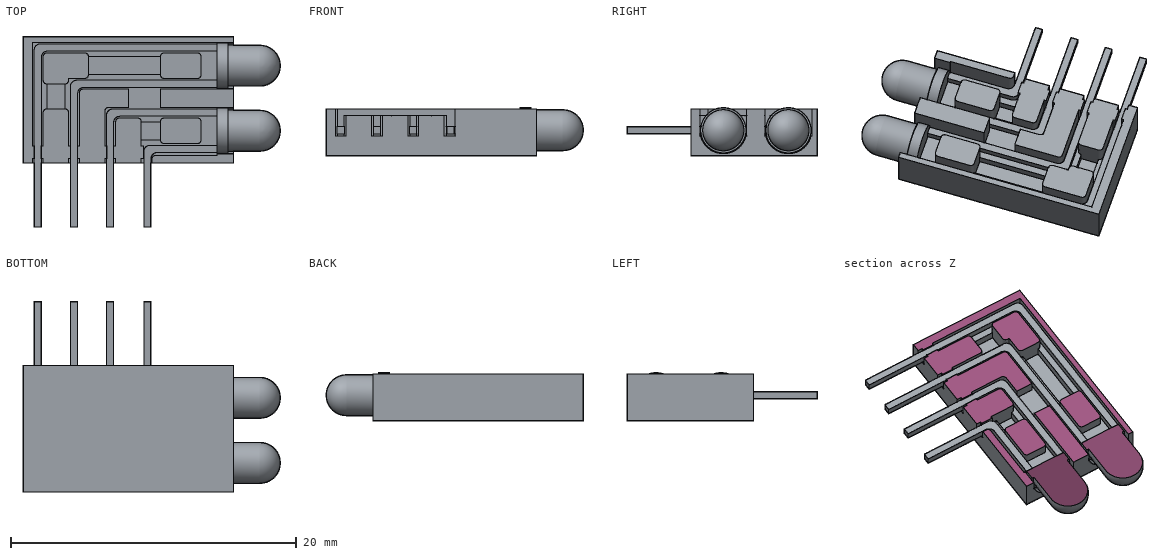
import cadquery as cq

HOUSING_LENGTH = 14.75
HOUSING_DEPTH = 8.87
HOUSING_HEIGHT = 3.3
FLOOR_TOP = 1.4
LEFT_WALL = 0.65
BACK_WALL = 0.4
FRONT_WALL = 0.54
POST_TOP = 2.83
CORNER_RADIUS = 0.25

SLOT_COUNT = 4
SLOT_WIDTH = 0.75
SLOT_PITCH = 2.55
FIRST_SLOT_X = LEFT_WALL + SLOT_WIDTH / 2
NECK_WIDTH = 0.47
NECK_FRONT = 0.32
NECK_BACK = 1.2

LED_TIP_X = 18.03
LED_AXIS_Z = 1.8
BULB_RADIUS = 1.45
RIM_RADIUS = 1.59
RIM_BACK_X = 13.6
RIM_THICKNESS = 0.75
CRADLE_RADIUS = 1.64
BACK_LED_Y = HOUSING_DEPTH - BACK_WALL - CRADLE_RADIUS
LED_SPACING = 4.56
FRONT_LED_Y = BACK_LED_Y - LED_SPACING

LEAD_SIZE = 0.5
LEAD_BEND_RADIUS = 0.43
LEAD_SPACING = 2.55
LEAD_OVERHANG = 4.47
FRONT_LED_LEAD_XS = (6.1, 8.7)

POST_WIDTH = 1.78
END_POST_LEFT = 9.63
END_POST_RIGHT = 12.48
CORNER_POST_RIGHT = 4.58
CORNER_POST_FRONT = 5.55
LEFT_GUIDE_BACK = 3.8
MIDDLE_GUIDE_RIGHT = 7.37

GROOVE_WIDTH = 1.26
GROOVE_BOTTOM = 0.8

slot_xs = [FIRST_SLOT_X + i * SLOT_PITCH for i in range(SLOT_COUNT)]
slot_lefts = [x - SLOT_WIDTH / 2 for x in slot_xs]
slot_rights = [x + SLOT_WIDTH / 2 for x in slot_xs]
back_led_lead_xs = (slot_xs[0], slot_xs[1])
divider_back = BACK_LED_Y - CRADLE_RADIUS
divider_front = FRONT_LED_Y + CRADLE_RADIUS


def box(x0, x1, y0, y1, z0, z1):
    """Box between two opposite corners."""
    return cq.Workplane("XY").box(x1 - x0, y1 - y0, z1 - z0, centered=False).translate((x0, y0, z0))


def post(x0, x1, y0, y1):
    """Square-cornered post standing on the floor."""
    return box(x0, x1, y0, y1, FLOOR_TOP, POST_TOP)


def make_walls():
    """Base plate with the left, back and right-hand front walls and the divider between the LEDs."""
    base = box(0, HOUSING_LENGTH, 0, HOUSING_DEPTH, 0, FLOOR_TOP)
    left = box(0, LEFT_WALL, 0, HOUSING_DEPTH, FLOOR_TOP, HOUSING_HEIGHT)
    back = box(0, HOUSING_LENGTH, HOUSING_DEPTH - BACK_WALL, HOUSING_DEPTH, FLOOR_TOP, HOUSING_HEIGHT)
    front = box(slot_rights[3], HOUSING_LENGTH, 0, FRONT_WALL, FLOOR_TOP, HOUSING_HEIGHT)
    front = front.edges("|Z and <X and >Y").fillet(CORNER_RADIUS)
    divider = box(END_POST_LEFT, HOUSING_LENGTH, divider_front, divider_back, FLOOR_TOP, HOUSING_HEIGHT)
    return base.union(left).union(back).union(front).union(divider)


def make_corner_post():
    """L-shaped post inside the bend of the outermost lead."""
    back = BACK_LED_Y + POST_WIDTH / 2
    arm_front = BACK_LED_Y - POST_WIDTH / 2
    arm = post(slot_rights[0], CORNER_POST_RIGHT, arm_front, back)
    arm = arm.edges("|Z and (not (<X and <Y))").fillet(CORNER_RADIUS)
    foot = post(slot_rights[0], slot_lefts[1], CORNER_POST_FRONT, back)
    return arm.union(foot.edges("|Z and (not (>X and >Y))").fillet(CORNER_RADIUS))


def make_end_post(led_y):
    """Rounded post between the two leads of an LED, near its rim."""
    half = POST_WIDTH / 2
    return post(END_POST_LEFT, END_POST_RIGHT, led_y - half, led_y + half).edges("|Z").fillet(CORNER_RADIUS)


def make_straight_guide(x0, x1, back):
    """Guide running back from the front side, with rounded back corners."""
    return post(x0, x1, 0, back).edges("|Z and >Y").fillet(CORNER_RADIUS)


def make_middle_guide():
    """L-shaped guide between the leads of the two LEDs."""
    outline = (
        cq.Workplane("XY", origin=(0, 0, FLOOR_TOP))
        .moveTo(slot_rights[1], 0)
        .lineTo(slot_lefts[2], 0)
        .lineTo(slot_lefts[2], divider_front - CORNER_RADIUS)
        .radiusArc((slot_lefts[2] + CORNER_RADIUS, divider_front), CORNER_RADIUS)
        .lineTo(MIDDLE_GUIDE_RIGHT, divider_front)
        .lineTo(MIDDLE_GUIDE_RIGHT, divider_back)
        .lineTo(slot_rights[1] + CORNER_RADIUS, divider_back)
        .radiusArc((slot_rights[1], divider_back - CORNER_RADIUS), -CORNER_RADIUS)
        .close()
    )
    return outline.extrude(POST_TOP - FLOOR_TOP)


def make_necks():
    """Ribs on the slot sides that narrow each slot; the last slot has a rib on its left side only."""
    rib = (SLOT_WIDTH - NECK_WIDTH) / 2
    ribs = box(slot_lefts[0], slot_lefts[0] + rib, NECK_FRONT, NECK_BACK, FLOOR_TOP, HOUSING_HEIGHT)
    for left in slot_lefts[1:]:
        ribs = ribs.union(post(left, left + rib, NECK_FRONT, NECK_BACK))
    for right in slot_rights[:-1]:
        ribs = ribs.union(post(right - rib, right, NECK_FRONT, NECK_BACK))
    return ribs


def make_grooves():
    """Cutters for the three grooves that join neighbouring posts."""
    half = GROOVE_WIDTH / 2
    left_x = (slot_rights[0] + slot_lefts[1]) / 2
    back = box(CORNER_POST_RIGHT, END_POST_LEFT, BACK_LED_Y - half, BACK_LED_Y + half, GROOVE_BOTTOM, FLOOR_TOP)
    front = box(slot_lefts[3], END_POST_LEFT, FRONT_LED_Y - half, FRONT_LED_Y + half, GROOVE_BOTTOM, FLOOR_TOP)
    left = box(left_x - half, left_x + half, LEFT_GUIDE_BACK, CORNER_POST_FRONT, GROOVE_BOTTOM, FLOOR_TOP)
    return back.union(front).union(left)


def make_cradle(led_y):
    """Round-bottomed recess for an LED, open at the right end."""
    length = HOUSING_LENGTH - RIM_BACK_X
    return cq.Workplane("YZ", origin=(RIM_BACK_X, led_y, LED_AXIS_Z)).circle(CRADLE_RADIUS).extrude(length)


def make_cradle_lip():
    """Strip that brings the front wall flush with the side of the front cradle."""
    lip_back = FRONT_LED_Y - CRADLE_RADIUS
    return box(RIM_BACK_X, HOUSING_LENGTH, FRONT_WALL, lip_back, FLOOR_TOP, HOUSING_HEIGHT)


def make_housing():
    housing = make_walls().union(make_cradle_lip())
    housing = housing.union(make_corner_post()).union(make_middle_guide())
    housing = housing.union(make_straight_guide(slot_rights[0], slot_lefts[1], LEFT_GUIDE_BACK))
    housing = housing.union(make_straight_guide(slot_rights[2], slot_lefts[3], FRONT_LED_Y + POST_WIDTH / 2))
    housing = housing.union(make_necks()).cut(make_grooves())
    for led_y in (BACK_LED_Y, FRONT_LED_Y):
        housing = housing.union(make_end_post(led_y)).cut(make_cradle(led_y))
    return housing


def make_lead(x, y):
    """Lead running left from the rim at y, then bent to run forward at x."""
    half = LEAD_SIZE / 2
    front = -LEAD_OVERHANG
    outline = (
        cq.Workplane("XY", origin=(0, 0, LED_AXIS_Z - half))
        .moveTo(RIM_BACK_X, y + half)
        .lineTo(x - half + LEAD_BEND_RADIUS, y + half)
        .radiusArc((x - half, y + half - LEAD_BEND_RADIUS), -LEAD_BEND_RADIUS)
        .lineTo(x - half, front)
        .lineTo(x + half, front)
        .lineTo(x + half, y - half - LEAD_BEND_RADIUS)
        .radiusArc((x + half + LEAD_BEND_RADIUS, y - half), LEAD_BEND_RADIUS)
        .lineTo(RIM_BACK_X, y - half)
        .close()
    )
    return outline.extrude(LEAD_SIZE)


def make_led(led_y, lead_xs):
    """Domed bulb with its rim and two leads."""
    dome_x = LED_TIP_X - BULB_RADIUS
    axis_plane = cq.Workplane("YZ", origin=(RIM_BACK_X, led_y, LED_AXIS_Z))
    led = axis_plane.circle(RIM_RADIUS).extrude(RIM_THICKNESS)
    led = led.union(axis_plane.circle(BULB_RADIUS).extrude(dome_x - RIM_BACK_X))
    dome = cq.Workplane("XY").sphere(BULB_RADIUS, direct=(1, 0, 0), angle1=0)
    led = led.union(dome.translate((dome_x, led_y, LED_AXIS_Z)))
    lead_ys = (led_y + LEAD_SPACING / 2, led_y - LEAD_SPACING / 2)
    for x, y in zip(lead_xs, lead_ys):
        led = led.union(make_lead(x, y))
    return led


leds = [make_led(BACK_LED_Y, back_led_lead_xs), make_led(FRONT_LED_Y, FRONT_LED_LEAD_XS)]

housing = make_housing()
for led in leds:
    housing = housing.cut(led)

result = cq.Compound.makeCompound([housing.val(), *[led.val() for led in leds]])